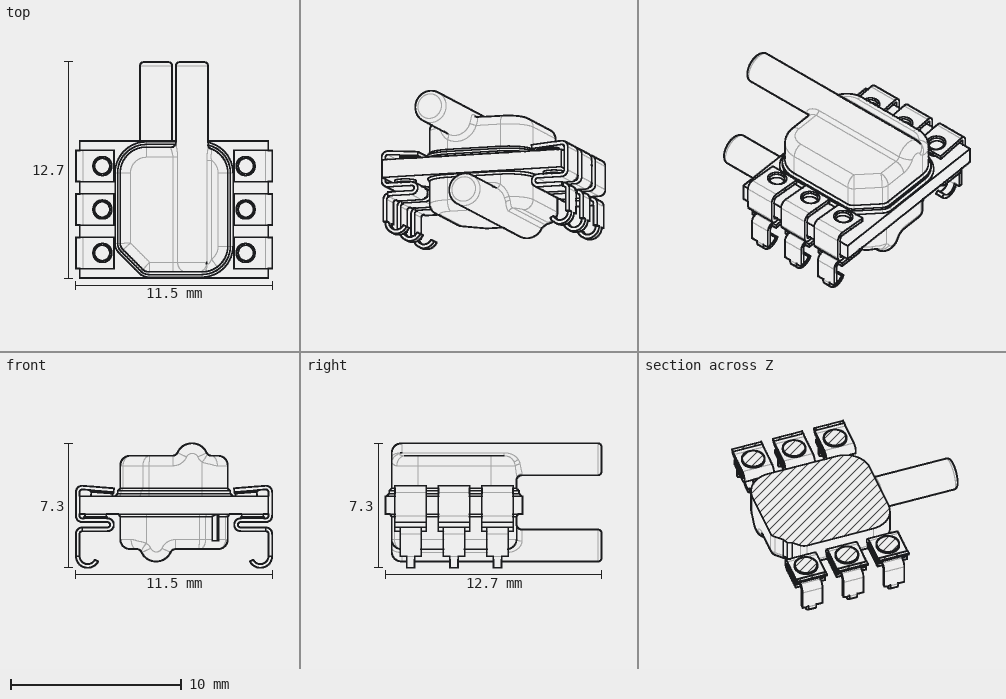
import cadquery as cq
import math

overall_width = 12.65
overall_height = 7.3

plate_length = 11.04
plate_width = 8.03
plate_thickness = 1.05
plate_top = plate_thickness / 2

shell_length = 6.3
shell_width = 7.31
upper_shell_height = 2.9
lower_shell_height = 2.58
corner_radius = 1.52
corner_cut = 1.47
cut_radius = 0.5
roof_edge_radius = 0.58

tube_radius = 1.88 / 2
tube_offset = 1.05
tube_sink = 0.22
tube_end = overall_width - plate_width / 2
tube_top = upper_shell_height - tube_sink + tube_radius
tube_end_radius = 0.22
blend_radius = 0.3

skirt_step = 0.15
flare_overhang = 0.1
flare_height = 0.15

ridge_start = 2.23
ridge_crest = 2.54
ridge_end = 2.63
ridge_rise = 0.13
ridge_tip = 2.07

clip_pitch = 2.54
clip_rows = 3
sheet = 0.23
bend_radius = 0.27
clip_width = 1.83
leg_width = 1.24
hook_width = 0.48
clip_reach = 3.52
top_bend_height = 0.76
arm_slope = 4.5
lower_arm_height = -0.89
hook_radius = 0.58
hook_height = tube_top - overall_height + hook_radius + sheet / 2
hook_tip_angle = -27.0

collar_diameter = 1.26
collar_flare = 0.05
upper_collar_place = 4.2
lower_collar_place = 4.59
dimple_diameter = 0.91
dimple_depth = 0.3
dimple_bevel = 0.1
dimple_bevel_depth = 0.06

half_length = shell_length / 2
half_width = shell_width / 2


def shell_prism(height):
    """Upright prism of the housing outline, with three round corners and one 45-degree corner."""
    prism = (
        cq.Workplane("XY")
        .moveTo(-half_length, corner_cut - half_width)
        .lineTo(corner_cut - half_length, -half_width)
        .lineTo(half_length, -half_width)
        .lineTo(half_length, half_width)
        .lineTo(-half_length, half_width)
        .close()
        .extrude(height)
    )
    prism = prism.edges("|Z and >X").fillet(corner_radius)
    prism = prism.edges("|Z and >Y and <X").fillet(corner_radius)
    margin = 0.13
    cut_edges = cq.selectors.BoxSelector(
        (-half_length - margin, -half_width - margin, 0),
        (corner_cut - half_length + margin, corner_cut - half_width + margin, height),
    )
    return prism.edges("|Z").edges(cut_edges).fillet(cut_radius)


def roof_profile(roof, axis):
    """Cross-section of the housing: flat roof, tube ridge and concave blends."""
    margin = shell_length
    outer = tube_radius + blend_radius
    blend_rise = roof + blend_radius - axis
    blend_reach = math.sqrt(outer**2 - blend_rise**2)
    blend_angle = math.atan2(blend_rise, blend_reach)
    touch_x = tube_radius * math.cos(blend_angle)
    touch_z = axis + tube_radius * math.sin(blend_angle)
    middle_angle = (blend_angle - math.pi / 2) / 2 - math.pi / 2
    middle_x = blend_reach + blend_radius * math.cos(middle_angle)
    middle_z = axis + blend_rise + blend_radius * math.sin(middle_angle)
    return (
        cq.Workplane("XZ")
        .moveTo(-margin, 0)
        .lineTo(margin, 0)
        .lineTo(margin, roof)
        .lineTo(tube_offset + blend_reach, roof)
        .threePointArc((tube_offset + middle_x, middle_z), (tube_offset + touch_x, touch_z))
        .threePointArc((tube_offset, axis + tube_radius), (tube_offset - touch_x, touch_z))
        .threePointArc((tube_offset - middle_x, middle_z), (tube_offset - blend_reach, roof))
        .lineTo(-margin, roof)
        .close()
    )


def keep_side(body, facing):
    """Keep the part of a body with y below zero (facing -1) or above zero (facing 1)."""
    reach = 4 * shell_width
    space = cq.Workplane("XY").box(reach, reach, reach).translate((0, facing * reach / 2, 0))
    return body.intersect(space)


def front_half(roof, axis):
    """Front of the housing, where the tube ridge ends in the rounded roof edge."""
    profile = roof_profile(roof, axis).extrude(shell_width, both=True)
    whole = shell_prism(roof + 2 * tube_radius).intersect(profile)
    rounded = whole.faces("<X").edges(">Z").fillet(roof_edge_radius)
    return keep_side(rounded, -1)


def back_half(roof, axis):
    """Back of the housing with the free tube leaving through its wall."""
    rounded = shell_prism(roof).faces(">Z").edges().fillet(roof_edge_radius)
    half = keep_side(rounded, 1)
    tube = (
        cq.Workplane("XZ", origin=(tube_offset, 0, axis))
        .circle(tube_radius)
        .extrude(-tube_end)
        .faces(">Y")
        .edges()
        .fillet(tube_end_radius)
    )
    margin = 0.13
    around_tube = cq.selectors.BoxSelector(
        (tube_offset - tube_radius - margin, margin, axis - tube_radius),
        (tube_offset + tube_radius + margin, half_width + margin, roof + margin),
    )
    return half.union(tube).edges("not |Z").edges(around_tube).fillet(blend_radius)


def housing(height):
    """Housing with its tube, standing on the plane z = 0."""
    axis = height - tube_sink
    return front_half(height, axis).union(back_half(height, axis))


def skirt(overhang, base, height, inset):
    """Band around the housing foot, leaning inwards by inset over its height."""
    outline = shell_prism(height).faces("<Z").wires().toPending().offset2D(overhang)
    lean = math.degrees(math.atan(inset / height))
    return outline.extrude(height, taper=lean).translate((0, 0, base))


def ridge():
    """Two-faced vertical ridge on the corner cut of the lower housing."""
    cut_line = half_length + half_width - corner_cut
    crest_y = ridge_crest - cut_line - ridge_rise * math.sqrt(2)
    return (
        cq.Workplane("XY")
        .moveTo(ridge_start, ridge_start - cut_line)
        .lineTo(ridge_crest, crest_y)
        .lineTo(ridge_end, ridge_end - cut_line)
        .lineTo(ridge_start, ridge_end - cut_line)
        .close()
        .extrude(-ridge_tip)
    )


clip_x = -(plate_length + sheet) / 2
bend_x = clip_x + bend_radius
slope = math.radians(arm_slope)
arm_start_x = bend_x + bend_radius * math.sin(slope)
arm_start_z = top_bend_height + bend_radius * math.cos(slope)
return_arm_height = lower_arm_height - 2 * bend_radius


def arm_height(x):
    """Centre height of the sloping top arm."""
    return arm_start_z - (x - arm_start_x) * math.tan(slope)


def strip(path, start, direction, width):
    """Sheet strip swept along a centre line in the XZ plane."""
    start_x, start_z = start
    run, rise = direction
    section = cq.Plane(origin=(start_x, 0, start_z), xDir=(0, 1, 0), normal=(run, 0, rise))
    return cq.Workplane(section).rect(width, sheet).sweep(path)


def clip_arms():
    """Wide strip that wraps the plate edge and folds back under itself."""
    tip = (-clip_reach, arm_height(-clip_reach))
    diagonal = bend_radius * math.cos(math.radians(45))
    top_middle = math.radians((180 + 90 - arm_slope) / 2)
    lower_bend_z = lower_arm_height + bend_radius
    return_x = -clip_reach - sheet / 2 - bend_radius
    path = (
        cq.Workplane("XZ")
        .moveTo(*tip)
        .lineTo(arm_start_x, arm_start_z)
        .threePointArc(
            (
                bend_x + bend_radius * math.cos(top_middle),
                top_bend_height + bend_radius * math.sin(top_middle),
            ),
            (clip_x, top_bend_height),
        )
        .lineTo(clip_x, lower_bend_z)
        .threePointArc((bend_x - diagonal, lower_bend_z - diagonal), (bend_x, lower_arm_height))
        .lineTo(return_x, lower_arm_height)
        .threePointArc(
            (return_x + bend_radius, lower_arm_height - bend_radius),
            (return_x, return_arm_height),
        )
        .lineTo(bend_x, return_arm_height)
    )
    return strip(path, tip, (-math.cos(slope), math.sin(slope)), clip_width)


def clip_leg():
    """Narrow leg that bends down from the end of the folded strip."""
    diagonal = bend_radius * math.cos(math.radians(45))
    knee_z = return_arm_height - bend_radius
    path = (
        cq.Workplane("XZ")
        .moveTo(bend_x, return_arm_height)
        .threePointArc((bend_x - diagonal, knee_z + diagonal), (clip_x, knee_z))
        .lineTo(clip_x, hook_height)
    )
    return strip(path, (bend_x, return_arm_height), (-1, 0), leg_width)


def clip_hook():
    """Slim curl at the foot of the leg."""
    centre_x = clip_x + hook_radius
    tip = math.radians(hook_tip_angle)
    path = (
        cq.Workplane("XZ")
        .moveTo(clip_x, hook_height)
        .threePointArc(
            (centre_x, hook_height - hook_radius),
            (centre_x + hook_radius * math.cos(tip), hook_height + hook_radius * math.sin(tip)),
        )
    )
    return strip(path, (clip_x, hook_height), (0, -1), hook_width)


def collar(x, z, normal, length):
    """Round collar grown from an arm along a normal, widened where it meets the arm."""
    plane = cq.Plane(origin=(x, 0, z), xDir=(0, 1, 0), normal=normal)
    barrel = cq.Workplane(plane).circle(collar_diameter / 2).extrude(length)
    foot = (
        cq.Workplane(plane)
        .circle(collar_diameter / 2 + collar_flare)
        .extrude(sheet / 2 + 2 * collar_flare)
        .faces(cq.selectors.DirectionMinMaxSelector(cq.Vector(*normal)))
        .chamfer(collar_flare)
    )
    return barrel.union(foot)


def dimple():
    """Bevelled blind hole sunk into the sloping top arm."""
    rim = dimple_diameter / 2
    top = sheet / 2
    cutter = (
        cq.Workplane("XZ")
        .moveTo(0, top - dimple_depth)
        .lineTo(rim, top - dimple_depth)
        .lineTo(rim, top - dimple_bevel_depth)
        .lineTo(rim + dimple_bevel, top)
        .lineTo(rim + dimple_bevel, 2 * top)
        .lineTo(0, 2 * top)
        .close()
        .revolve(360, (0, 0, 0), (0, 1, 0))
    )
    place = (-upper_collar_place, 0, arm_height(-upper_collar_place))
    return cutter.rotate((0, 0, 0), (0, 1, 0), arm_slope).translate(place)


def clip():
    """One complete clip on the -X side, with its collars and dimple."""
    upper_z = arm_height(-upper_collar_place)
    upper_normal = (-math.sin(slope), 0, -math.cos(slope))
    upper_length = upper_z - plate_top + collar_flare
    upper_collar = collar(-upper_collar_place, upper_z, upper_normal, upper_length)
    lower_length = -plate_top - lower_arm_height
    lower_collar = collar(-lower_collar_place, lower_arm_height, (0, 0, 1), lower_length)
    body = clip_arms().union(clip_leg()).union(clip_hook())
    return body.union(upper_collar).union(lower_collar).cut(dimple())


result = cq.Workplane("XY").box(plate_length, plate_width, plate_thickness)
result = result.union(housing(upper_shell_height))
result = result.union(skirt(2 * skirt_step, plate_top, skirt_step, skirt_step))
result = result.union(skirt(skirt_step, plate_top, 2 * skirt_step, 0))
result = result.union(skirt(skirt_step, plate_top + 2 * skirt_step, skirt_step, skirt_step))

lower_parts = housing(lower_shell_height)
lower_parts = lower_parts.union(skirt(flare_overhang, plate_top, flare_height, flare_overhang))
result = result.union(lower_parts.rotate((0, 0, 0), (0, 1, 0), 180))
result = result.union(ridge())

left_clip = clip()
right_clip = left_clip.mirror("YZ")
for row in range(clip_rows):
    row_y = (row - (clip_rows - 1) / 2) * clip_pitch
    result = result.union(left_clip.translate((0, row_y, 0)))
    result = result.union(right_clip.translate((0, row_y, 0)))